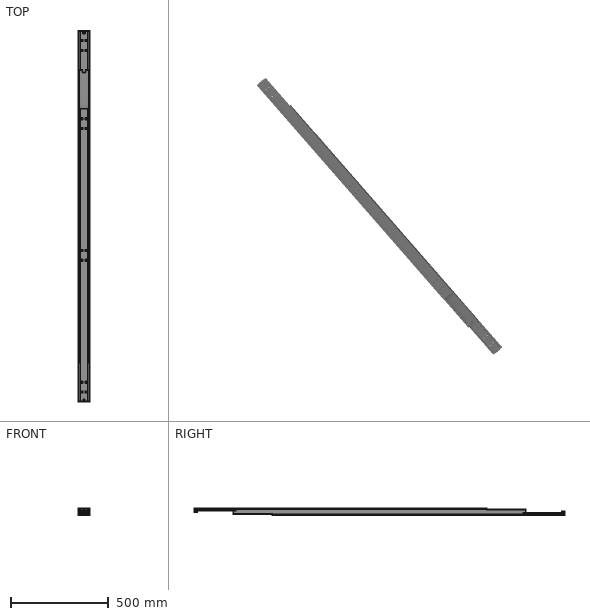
import cadquery as cq

overall_width = 60.0
overall_height = 34.0
body_length = 1500.0
extension = 200.0

running_gap = 1.75
wall_thickness = 6.5
web_thickness = 5.0

plate_thickness = 3.0
runner_width = 40.0
runner_height = 9.0
ball_radius = 3.0
runner_hole_diameter = 6.6
plate_hole_diameter = 8.5
screw_hole_spacing_x = 20.0
screw_hole_pair_pitch = 50.0
screw_group_pitch = 675.0

stop_diameter = 15.0
stop_rise = 2.0
stop_hole_diameter = 9.0
slot_width = 18.0
slot_depth = 15.0
side_hole_diameter = 5.0
side_hole_end_distance = 10.0

mid_height = overall_height / 2
channel_floor = mid_height - web_thickness / 2
runner_top = plate_thickness + runner_height
race_height = (plate_thickness + runner_top) / 2
rail_height = overall_height - 2 * (plate_thickness + running_gap)
channel_width = overall_width - 2 * wall_thickness
rail_end = body_length / 2
ball_track_x = (runner_width + channel_width) / 4
stop_end_distance = stop_diameter / 2
stop_top = mid_height + stop_rise


def box(width, length, bottom, top):
    """Block centred in X and Y between two heights."""
    return cq.Workplane("XY").workplane(offset=bottom).rect(width, length).extrude(top - bottom)


def turned_over(shape):
    """The same shape turned half a turn about the X axis through the middle of the assembly."""
    return shape.rotate((0, 0, mid_height), (1, 0, mid_height), 180)


def make_ball_tracks():
    """Round bars along Y that groove both the runner of the lower slide and the rail walls."""
    return (
        cq.Workplane("XZ")
        .pushPoints([(side * ball_track_x, race_height) for side in (-1, 1)])
        .circle(ball_radius)
        .extrude(body_length / 2, both=True)
    )


def make_rail():
    """H-shaped middle rail with one channel for each slide."""
    rail_bottom = mid_height - rail_height / 2
    rail = box(overall_width, body_length, rail_bottom, rail_bottom + rail_height)

    channel = box(channel_width, body_length, rail_bottom, channel_floor)
    rail = rail.cut(channel).cut(turned_over(channel))

    tracks = make_ball_tracks()
    rail = rail.cut(tracks).cut(turned_over(tracks))

    slot_centre = rail_end - slot_depth + slot_width / 2
    for end in (-1, 1):
        slot_bottom = cq.Workplane("XY").circle(slot_width / 2).extrude(overall_height)
        slot_mouth = box(slot_width, slot_width, 0, overall_height).translate((0, end * slot_width / 2, 0))
        rail = rail.cut(slot_bottom.union(slot_mouth).translate((0, end * slot_centre, 0)))

    side_hole = (
        cq.Workplane("YZ")
        .center(rail_end - side_hole_end_distance, race_height)
        .circle(side_hole_diameter / 2)
        .extrude(overall_width / 2, both=True)
    )
    return rail.cut(side_hole).cut(turned_over(side_hole))


def make_lower_slide():
    """Slide below the rail, moved out toward +Y."""
    plate = box(overall_width, body_length, 0, plate_thickness)
    runner = box(runner_width, body_length, plate_thickness, runner_top)
    slide = plate.union(runner)

    slide = slide.cut(make_ball_tracks())

    stop_centre = body_length / 2 - stop_end_distance
    stop = cq.Workplane("XY").center(0, stop_centre).circle(stop_diameter / 2).extrude(stop_top)
    stop_hole = (
        cq.Workplane("XY", origin=(0, stop_centre, plate_thickness))
        .circle(stop_hole_diameter / 2)
        .extrude(stop_top)
    )
    slide = slide.union(stop).cut(stop_hole)

    hole_points = [
        (
            x_side * screw_hole_spacing_x / 2,
            group * screw_group_pitch + y_side * screw_hole_pair_pitch / 2,
        )
        for group in (-1, 0, 1)
        for y_side in (-1, 1)
        for x_side in (-1, 1)
    ]
    layout = cq.Workplane("XY").pushPoints(hole_points)
    runner_holes = layout.circle(runner_hole_diameter / 2).extrude(overall_height)
    plate_holes = layout.circle(plate_hole_diameter / 2).extrude(plate_thickness)
    return slide.cut(runner_holes).cut(plate_holes).translate((0, extension, 0))


rail = make_rail()
lower_slide = make_lower_slide()
upper_slide = turned_over(lower_slide)

result = cq.Compound.makeCompound([rail.val(), lower_slide.val(), upper_slide.val()])